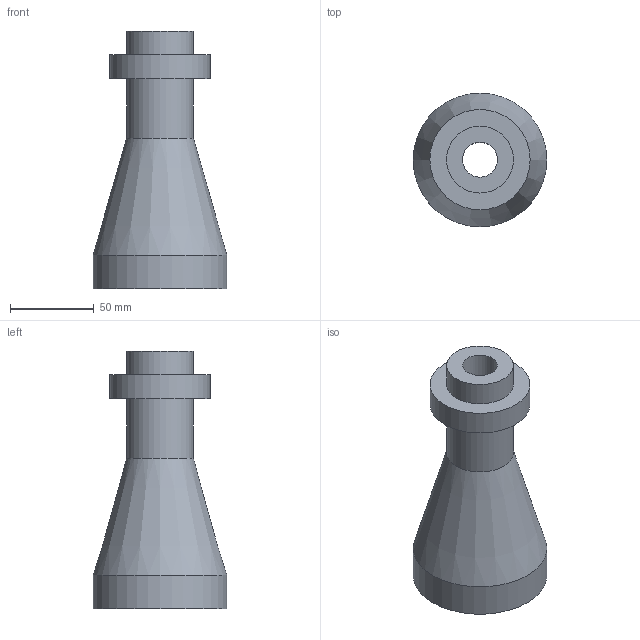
import cadquery as cq

base_diameter = 80.0
neck_diameter = 40.0
collar_diameter = 60.0
bore_diameter = 21.0

base_height = 20.0
cone_height = 70.0
neck_height = 35.6
collar_height = 14.4
total_height = 154.03

cone_bottom = base_height
cone_top = cone_bottom + cone_height
collar_bottom = cone_top + neck_height


def make_body():
    """Base, cone and neck, revolved about Z as one solid."""
    base_radius = base_diameter / 2
    neck_radius = neck_diameter / 2
    return (
        cq.Workplane("XZ")
        .moveTo(0, 0)
        .lineTo(base_radius, 0)
        .lineTo(base_radius, cone_bottom)
        .lineTo(neck_radius, cone_top)
        .lineTo(neck_radius, total_height)
        .lineTo(0, total_height)
        .close()
        .revolve(360, (0, 0, 0), (0, 1, 0))
    )


def make_collar():
    """Wider ring around the neck, below its top end."""
    return (
        cq.Workplane("XY")
        .workplane(offset=collar_bottom)
        .circle(collar_diameter / 2)
        .extrude(collar_height)
    )


def make_bore():
    """Straight hole through the full height."""
    return cq.Workplane("XY").circle(bore_diameter / 2).extrude(total_height)


result = make_body().union(make_collar()).cut(make_bore())